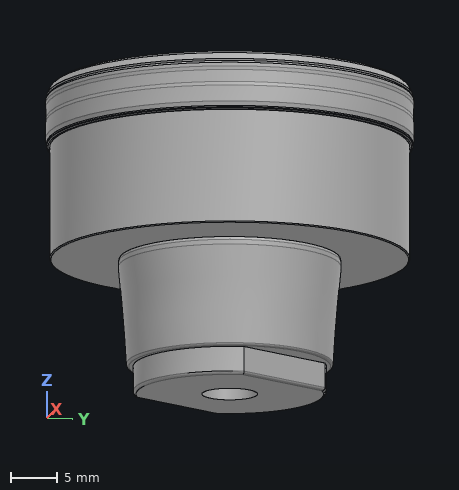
import cadquery as cq

total_height = 33.95
tip_top_z = 3.05
taper_top_z = 14.05
neck_chamfer_z = 14.55
body_bottom_z = 14.9
collar_bottom_z = 27.37
lower_groove_z = 27.6
collar_wall_bottom_z = 28.2
band_bottom_z = 29.97
band_top_z = 32.1
collar_wall_top_z = 32.5
upper_groove_z = 32.75
rim_bottom_z = 32.95

collar_radius = 20.0
groove_edge_radius = 19.9
groove_radius = 19.8
band_radius = 19.95
collar_bottom_radius = 19.73
rim_shoulder_radius = 19.55
top_face_radius = 19.2
body_radius = 19.53
neck_radius = 12.1
taper_end_radius = 11.2
tip_radius = 10.5
bore_radius = 3.0

neck_chamfer = 0.1
groove_half_width = 0.12
band_slope_height = 0.4
rim_shoulder_drop = 0.3
tip_fillet = 0.32
taper_end_fillet = 0.3
body_chamfer = 0.12
bore_chamfer = 0.2
recess_radius = 15.7
recess_depth = 0.5
across_flats = 17.05
flat_direction = 30


def turned_body():
    """Collar, body, tapered neck and tip as one revolved profile."""
    return (
        cq.Workplane("XZ")
        .lineTo(tip_radius, 0)
        .lineTo(tip_radius, tip_top_z)
        .lineTo(taper_end_radius, tip_top_z)
        .lineTo(neck_radius, taper_top_z)
        .lineTo(neck_radius, neck_chamfer_z)
        .lineTo(neck_radius - neck_chamfer, body_bottom_z)
        .lineTo(body_radius - body_chamfer, body_bottom_z)
        .lineTo(body_radius, body_bottom_z + body_chamfer)
        .lineTo(body_radius, collar_bottom_z)
        .lineTo(collar_bottom_radius, collar_bottom_z)
        .lineTo(groove_edge_radius, lower_groove_z - groove_half_width)
        .lineTo(groove_radius, lower_groove_z)
        .lineTo(groove_edge_radius, lower_groove_z + groove_half_width)
        .lineTo(collar_radius, collar_wall_bottom_z)
        .lineTo(collar_radius, band_bottom_z)
        .lineTo(band_radius, band_bottom_z + band_slope_height)
        .lineTo(band_radius, band_top_z - band_slope_height)
        .lineTo(collar_radius, band_top_z)
        .lineTo(collar_radius, collar_wall_top_z)
        .lineTo(groove_radius, upper_groove_z)
        .lineTo(groove_edge_radius, rim_bottom_z)
        .lineTo(rim_shoulder_radius, total_height - rim_shoulder_drop)
        .lineTo(top_face_radius, total_height)
        .lineTo(0, total_height)
        .close()
        .revolve(360, (0, 0, 0), (0, 1, 0))
    )


def round_lower_edges(part):
    """Round the bottom of the tip and the lower edge of the taper."""
    part = part.faces("<Z").edges().fillet(tip_fillet)
    taper_edge = cq.selectors.RadiusNthSelector(-1)
    shoulder = part.faces(cq.selectors.NearestToPointSelector((0, 0, tip_top_z)))
    return shoulder.edges(taper_edge).fillet(taper_end_fillet)


def wrench_flats():
    """Two blocks beside the tip whose removal leaves two parallel flats."""
    blank_size = 2 * neck_radius
    blank = cq.Workplane("XY").rect(blank_size, blank_size).extrude(tip_top_z)
    core = cq.Workplane("XY").rect(across_flats, blank_size).extrude(tip_top_z)
    return blank.cut(core).rotate((0, 0, 0), (0, 0, 1), flat_direction)


def top_recess():
    """Shallow round recess in the top face."""
    floor_z = total_height - recess_depth
    return cq.Workplane("XY").workplane(offset=floor_z).circle(recess_radius).extrude(recess_depth)


def bore():
    """Through bore with a chamfered mouth at the recess floor."""
    floor_z = total_height - recess_depth
    return (
        cq.Workplane("XZ")
        .lineTo(bore_radius, 0)
        .lineTo(bore_radius, floor_z - bore_chamfer)
        .lineTo(bore_radius + bore_chamfer, floor_z)
        .lineTo(0, floor_z)
        .close()
        .revolve(360, (0, 0, 0), (0, 1, 0))
    )


result = round_lower_edges(turned_body().cut(wrench_flats()))
result = result.cut(top_recess()).cut(bore())